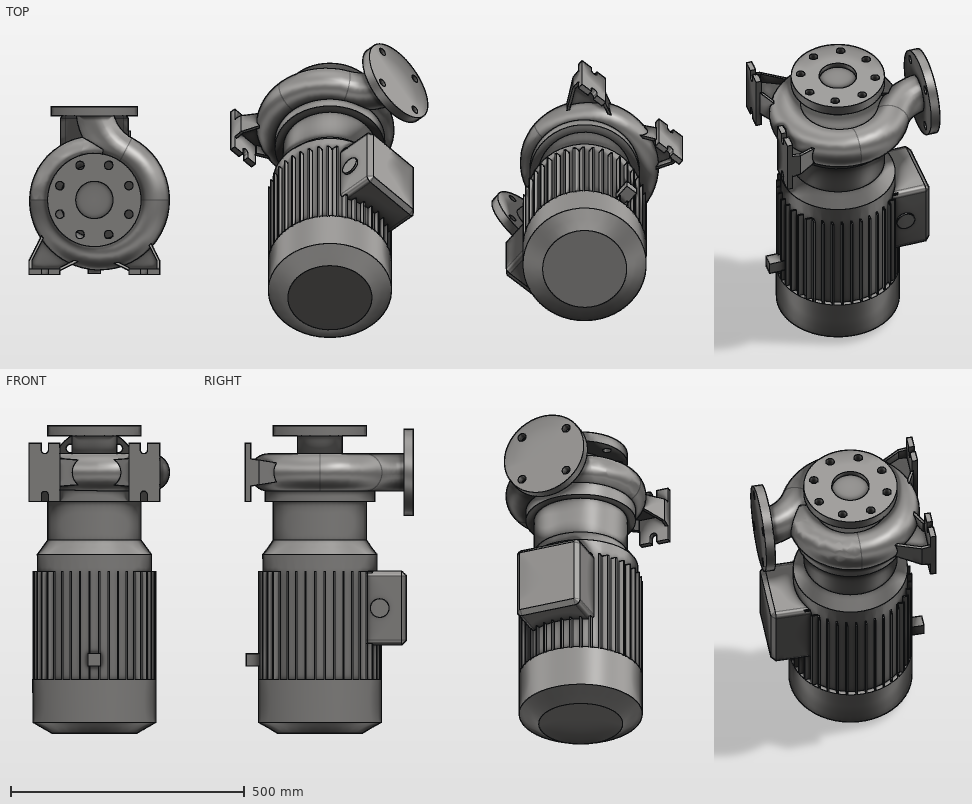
import cadquery as cq
import math


suction_top = 100.0
suction_flange_radius = 100.0
suction_flange_thickness = 22.0
suction_bolt_circle_radius = 80.0
suction_bolt_count = 8
suction_bore_radius = 40.0
suction_bore_depth = 12.0
neck_radius = 48.0
bolt_hole_diameter = 18.0

discharge_end = 200.0
discharge_flange_radius = 92.5
discharge_flange_thickness = 20.0
discharge_bolt_circle_radius = 72.5
discharge_bolt_count = 4

tube_radius = 40.0
volute_offset = 11.0
volute_arc_radius = 110.0
tongue_tube_radius = 37.0
tongue_end_angle = 80.0
cover_height = 30.0
cover_radius = 105.0

foot_height = 125.0
ring_radius = 117.5
ring_bottom = -foot_height / 2
lantern_radius = 100.0
lantern_bottom = -145.0
motor_core_radius = 122.5
motor_cone_bottom = -176.0
fin_top = -212.0
fin_bottom = -443.0
cowl_radius = 132.0
cowl_cone_top = -535.0
cowl_end_radius = 90.0
motor_bottom = -559.0

fins_per_side = 10
fin_pitch_angle = 9.0
fin_thickness = 3.0

box_width = 146.0
box_outer_face = 185.0
box_top = -211.0
box_height = 159.0
box_fillet = 11.0
box_chamfer = 10.0
entry_radius = 20.0
entry_length = 4.5
entry_y = 128.0

lug_size = 27.0
lug_outer_face = 158.0
lug_top = -388.0

foot_outer_x = 140.0
foot_inner_x = 74.0
foot_base = -160.0
foot_thickness = 12.0
foot_slot_x = 106.0
foot_slot_width = 15.0
foot_slot_depth = 22.0
foot_top = foot_base + foot_thickness

bracket_plate = 6.0
inner_plate_drop = 3.5
bracket_bend_y = -130.0
bracket_reach = 62.0
bracket_slope = 2.0
bracket_half_height = 30.0
bracket_taper = 0.164
web_thickness = 6.0


def cylinder(radius, bottom, top):
    return cq.Workplane("XY").workplane(offset=bottom).circle(radius).extrude(top - bottom)


def turned_body():
    profile = [
        (0, ring_bottom),
        (lantern_radius, ring_bottom),
        (lantern_radius, lantern_bottom),
        (motor_core_radius, motor_cone_bottom),
        (motor_core_radius, fin_bottom),
        (cowl_radius, fin_bottom),
        (cowl_radius, cowl_cone_top),
        (cowl_end_radius, motor_bottom),
        (0, motor_bottom),
    ]
    motor = cq.Workplane("XZ").polyline(profile).close().revolve(360, (0, 0, 0), (0, 1, 0))
    return motor.union(cylinder(ring_radius, ring_bottom, 0))


def cooling_fins():
    """Parallel fins on each side, trimmed to the cowl radius."""
    fin_height = fin_top - fin_bottom
    inner_end = motor_core_radius / 2
    fin_length = cowl_radius - inner_end
    fins = cq.Workplane("XY")
    for side in range(4):
        for index in range(fins_per_side):
            angle = math.radians((index - (fins_per_side - 1) / 2) * fin_pitch_angle)
            fin = (
                cq.Workplane("XY")
                .box(fin_length, fin_thickness, fin_height, centered=(False, True, False))
                .translate((inner_end, cowl_radius * math.sin(angle), fin_bottom))
                .rotate((0, 0, 0), (0, 0, 1), 90 * side)
            )
            fins = fins.add(fin)
    return fins.combine().intersect(cylinder(cowl_radius, fin_bottom, fin_top))


def terminal_box():
    box = (
        cq.Workplane("XY")
        .box(box_width, box_outer_face, box_height, centered=(True, False, False))
        .translate((0, 0, box_top - box_height))
        .edges("|Y").fillet(box_fillet)
        .faces(">Y").chamfer(box_chamfer)
    )
    entry = (
        cq.Workplane("YZ")
        .center(entry_y, box_top - box_height / 2)
        .circle(entry_radius)
        .extrude(box_width / 2 + entry_length)
    )
    return box.union(entry)


def drain_lug():
    return (
        cq.Workplane("XY")
        .box(lug_size, lug_outer_face, lug_size, centered=(True, False, False))
        .translate((0, -lug_outer_face, lug_top - lug_size))
    )


def volute_tube():
    """Half ring, continued to the discharge by a reverse bend that ends along +Y."""
    bend_radius = (discharge_end**2 + volute_offset**2 - volute_arc_radius**2) / (
        2 * (volute_arc_radius + volute_offset)
    )
    joint_angle = math.atan2(discharge_end, bend_radius - volute_offset)
    joint = (
        volute_offset + volute_arc_radius * math.cos(joint_angle),
        volute_arc_radius * math.sin(joint_angle),
    )
    bend_middle_angle = math.pi + joint_angle / 2
    bend_middle = (
        bend_radius + bend_radius * math.cos(bend_middle_angle),
        discharge_end + bend_radius * math.sin(bend_middle_angle),
    )
    start_x = volute_offset - volute_arc_radius
    path = (
        cq.Workplane("XY")
        .moveTo(start_x, 0)
        .threePointArc((volute_offset, -volute_arc_radius), (volute_offset + volute_arc_radius, 0))
        .threePointArc(
            (
                volute_offset + volute_arc_radius * math.cos(joint_angle / 2),
                volute_arc_radius * math.sin(joint_angle / 2),
            ),
            joint,
        )
        .threePointArc(bend_middle, (0, discharge_end))
    )
    return cq.Workplane("XZ").center(start_x, 0).circle(tube_radius).sweep(path)


def volute_tongue():
    """Narrowing tube from the start of the volute round to the discharge."""
    radius = volute_arc_radius - volute_offset
    end_angle = math.radians(tongue_end_angle)
    middle_angle = (math.pi + end_angle) / 2
    end = (radius * math.cos(end_angle), radius * math.sin(end_angle), 0)
    end_plane = cq.Plane(
        origin=end,
        xDir=(math.cos(end_angle), math.sin(end_angle), 0),
        normal=(math.sin(end_angle), -math.cos(end_angle), 0),
    )
    start_plane = cq.Plane(origin=(-radius, 0, 0), xDir=(-1, 0, 0), normal=(0, 1, 0))
    path = (
        cq.Workplane("XY")
        .moveTo(-radius, 0)
        .threePointArc(
            (radius * math.cos(middle_angle), radius * math.sin(middle_angle)), end[:2]
        )
    )
    start_wire = cq.Workplane(start_plane).circle(tube_radius).wires().val()
    end_wire = cq.Workplane(end_plane).circle(tongue_tube_radius).wires().val()
    tongue = cq.Workplane("XY").add(start_wire).add(end_wire).toPending()
    return tongue.sweep(path, multisection=True)


def casing():
    cover = cylinder(cover_radius, 0, cover_height).translate((volute_offset, 0, 0))
    return cover.union(volute_tube()).union(volute_tongue())


def suction_port():
    flange = cylinder(suction_flange_radius, suction_top - suction_flange_thickness, suction_top)
    holes = (
        cq.Workplane("XY")
        .workplane(offset=suction_top - suction_flange_thickness)
        .polarArray(suction_bolt_circle_radius, 180 / suction_bolt_count, 360, suction_bolt_count)
        .circle(bolt_hole_diameter / 2)
        .extrude(suction_flange_thickness)
    )
    bore = cylinder(suction_bore_radius, suction_top - suction_bore_depth, suction_top)
    return flange.cut(holes).union(cylinder(neck_radius, 0, suction_top - suction_bore_depth)).cut(bore)


def discharge_flange():
    return (
        cq.Workplane("XZ", origin=(0, discharge_end, 0))
        .circle(discharge_flange_radius)
        .polarArray(
            discharge_bolt_circle_radius, 180 / discharge_bolt_count, 360, discharge_bolt_count
        )
        .circle(bolt_hole_diameter / 2)
        .extrude(discharge_flange_thickness)
    )


def foot_plate():
    plate = (
        cq.Workplane("XY")
        .box(foot_outer_x - foot_inner_x, foot_thickness, foot_height, centered=(False, False, True))
        .translate((foot_inner_x, foot_base, 0))
    )
    for end in (1, -1):
        slot = (
            cq.Workplane("XZ", origin=(foot_slot_x, foot_top, end * foot_height / 2))
            .slot2D(2 * foot_slot_depth, foot_slot_width, 90)
            .extrude(foot_thickness)
        )
        plate = plate.cut(slot)
    return plate


def foot_bracket():
    """Two side plates running into the volute at mirrored slopes, joined by a web."""
    slope_length = math.hypot(1, bracket_slope)
    run = bracket_reach / slope_length
    rise = bracket_slope * run
    outer_top = (foot_outer_x - run, bracket_bend_y + rise)
    inner_base_y = foot_top - inner_plate_drop
    inner_top = (foot_inner_x - rise, inner_base_y + run)
    across = bracket_plate * slope_length / bracket_slope
    outer_plate = (
        cq.Workplane("XY")
        .polyline([
            (foot_outer_x, foot_top),
            (foot_outer_x, bracket_bend_y),
            outer_top,
            (outer_top[0] - across, outer_top[1]),
            (foot_outer_x - bracket_plate, bracket_bend_y),
            (foot_outer_x - bracket_plate, foot_top),
        ])
        .close()
        .extrude(bracket_half_height, both=True)
    )
    inner_plate = (
        cq.Workplane("XY")
        .polyline([
            (foot_inner_x, inner_base_y),
            inner_top,
            (inner_top[0], inner_top[1] + across),
            (foot_inner_x, inner_base_y + across),
        ])
        .close()
        .extrude(bracket_half_height, both=True)
    )
    far_y = outer_top[1]
    far_half_height = bracket_half_height - bracket_taper * (far_y - inner_base_y)
    taper = (
        cq.Workplane("YZ")
        .polyline([
            (inner_base_y, bracket_half_height),
            (far_y, far_half_height),
            (far_y, -far_half_height),
            (inner_base_y, -bracket_half_height),
        ])
        .close()
        .extrude(foot_outer_x)
    )
    web = (
        cq.Workplane("XY")
        .polyline([
            (foot_inner_x, foot_top),
            (foot_outer_x, foot_top),
            (foot_outer_x, bracket_bend_y),
            outer_top,
            inner_top,
        ])
        .close()
        .extrude(web_thickness / 2, both=True)
    )
    return outer_plate.union(inner_plate).intersect(taper).union(web)


def feet():
    right_foot = foot_plate().union(foot_bracket())
    return right_foot.union(right_foot.mirror("YZ"))


result = (
    turned_body()
    .union(cooling_fins())
    .union(terminal_box())
    .union(drain_lug())
    .union(casing())
    .union(suction_port())
    .union(discharge_flange())
    .union(feet())
)